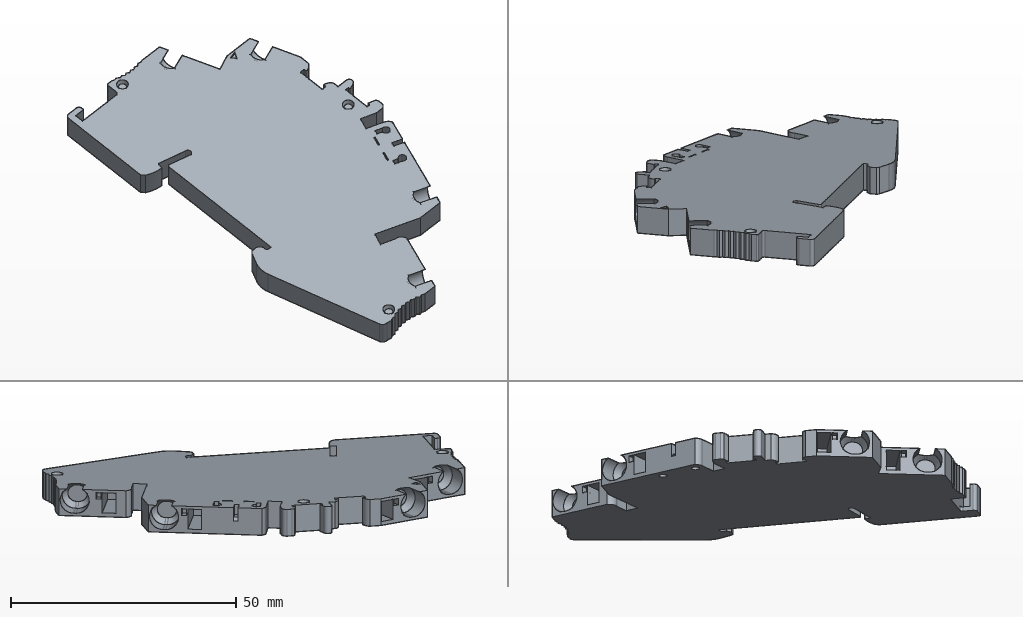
import cadquery as cq
import math

length = 92.4
height = 52.5
thickness = 6.2

slope_angle = 20.0
sin_slope = math.sin(math.radians(slope_angle))
cos_slope = math.cos(math.radians(slope_angle))
tan_slope = math.tan(math.radians(slope_angle))

left_wall_x = 0.6
left_shoulder_y = 28.7
left_step_x = 14.5
left_step_y = left_shoulder_y + (left_step_x - left_wall_x) * tan_slope
upper_left_x = 12.9
upper_left_y = 44.7
upper_left_bottom = 37.5
deck_y = 49.0
deck_left_x = upper_left_x + (deck_y - upper_left_y) / tan_slope

foot_top = 4.2
foot_hook_x = 23.6
window_x = 3.6
window_top = 12.8
corner = 0.4
foot_round = 0.8
window_round = 0.6

rail_y = 6.1
rail_left_x = 26.4
rail_right_x = 58.7

channel_floor = 45.9
channel_lip = 47.0
channel_left = 27.7
channel_right = 34.6
channel_undercut = 0.65
marker_floor = 49.5
marker_lip = 50.4
marker_left = 38.3
marker_right = 45.1
marker_undercut = 0.6
tower_left = 36.5
tower_right = 47.9

crest_x = 52.2
crest_y = 50.45
upper_right_x = 76.0
upper_right_y = crest_y - (upper_right_x - crest_x) * tan_slope
upper_right_bottom = 35.6
right_wall_x = 92.2
right_shoulder_y = 24.2
right_crest_x = 78.2
right_crest_y = right_shoulder_y + (right_wall_x - right_crest_x) * tan_slope

left_grip_teeth = 7
right_grip_teeth = 8
grip_tooth_height = 0.4

funnel_radius = 3.0
funnel_stretch = 0.6
funnel_z = 3.6
funnel_straight = 4.1
funnel_cone_depth = 1.85
funnel_cone_angle = 30.0
left_funnel_setback = 3.9
right_funnel_setback = 3.5
release_width = 3.05
release_bottom = 0.9
release_top = 5.5
release_depth = 11.1
lower_release_offset = 7.7
upper_release_offset = 6.8
notch_width = 1.1
notch_gap = 0.3
notch_bottom = 4.1
notch_depth = 1.85

dimple_radius = 1.3
dimple_floor_radius = 0.9
dimple_depth = 0.9
dimple_places = [(2.4, 15.3), (41.8, 46.9), (89.7, 12.2)]

test_middle = 5.87
test_hole_offset = 4.39
test_hole_depth = 2.3
test_hole_radius = 0.9
test_slot_width = 1.0
test_slot_end = 4.5
test_slot_depth = 1.4
test_slot_offset = 4.7
middle_slot_depth = 2.3
middle_slot_end = 2.6
mouth_length = 0.7
mark_offset = 2.4
mark_depth = 5.45
mark_length = 2.2
mark_width = 0.23
mark_recess = 0.5

pocket_left = 1.5
pocket_bottom = 1.7
pocket_floor = 1.0
triangle_points = [(13.4, 39.55), (15.1, 38.6), (13.9, 37.8)]


def grip(start, end, hollow, teeth):
    """Toothed edge from start to end, hollowed sideways by a parabola."""
    points = []
    steps = 2 * teeth
    outward = -math.copysign(grip_tooth_height, hollow)
    for step in range(1, steps):
        t = step / steps
        x = start[0] + (end[0] - start[0]) * t + 4 * hollow * t * (1 - t)
        y = start[1] + (end[1] - start[1]) * t
        if step % 2 == 0:
            x += outward
        points.append((x, y))
    return points + [end]


def path(wire, points):
    """Continue the outline with straight lines through the points."""
    for point in points:
        wire = wire.lineTo(*point)
    return wire


def rounded(wire, vertex, radius, before, after):
    """Run to an axis-parallel corner at vertex and round it; before and after are travel directions."""
    start = (vertex[0] - before[0] * radius, vertex[1] - before[1] * radius)
    end = (vertex[0] + after[0] * radius, vertex[1] + after[1] * radius)
    rise = radius * (1 - math.sqrt(0.5))
    middle = (
        vertex[0] + (after[0] - before[0]) * rise,
        vertex[1] + (after[1] - before[1]) * rise,
    )
    return wire.lineTo(*start).threePointArc(middle, end)


def make_outline():
    left, right, up = (-1, 0), (1, 0), (0, 1)
    grip_start = (0, 14.4)
    wire = cq.Workplane("XY").moveTo(foot_hook_x, 0)
    wire = rounded(wire, (0, 0), foot_round, left, up)
    wire = rounded(wire, (0, foot_top), foot_round, up, right)
    wire = rounded(wire, (window_x, foot_top), window_round, right, up)
    wire = rounded(wire, (window_x, window_top), window_round, up, left)
    wire = rounded(wire, (0, window_top), corner, left, up)
    wire = wire.lineTo(*grip_start)
    wire = path(wire, grip(grip_start, (left_wall_x, 23.3), 0.8, left_grip_teeth))
    wire = path(wire, [
        (left_wall_x, left_shoulder_y),
        (left_step_x, left_step_y),
        (upper_left_x, upper_left_bottom),
        (upper_left_x, upper_left_y),
        (deck_left_x, deck_y),
        (27.2, deck_y),
    ])
    wire = wire.threePointArc((28.0, 48.2), (channel_left + channel_undercut, channel_lip))
    wire = path(wire, [
        (channel_left, channel_lip),
        (channel_left, channel_floor),
        (channel_right, channel_floor),
        (channel_right, channel_lip),
        (channel_right - channel_undercut, channel_lip),
    ])
    wire = wire.threePointArc((34.3, 48.2), (35.1, deck_y))
    wire = path(wire, [(tower_left, deck_y), (tower_left, 51.7)])
    wire = wire.threePointArc((37.4, height), (38.3, 51.7))
    wire = path(wire, [
        (marker_left + marker_undercut, marker_lip),
        (marker_left, marker_lip),
        (marker_left, marker_floor),
        (marker_right, marker_floor),
        (marker_right, marker_lip),
        (marker_right - marker_undercut, marker_lip),
        (45.1, 52.1),
    ])
    wire = wire.threePointArc((45.5, 52.4), (45.8, height)).lineTo(46.9, height)
    wire = wire.threePointArc((47.5, 52.2), (tower_right, 51.6))
    wire = path(wire, [(tower_right, 49.8), (46.6, 46.0), (49.4, 44.9), (50.9, 49.2)])
    wire = wire.threePointArc((51.4, 49.9), (crest_x, crest_y))
    wire = path(wire, [
        (upper_right_x, upper_right_y),
        (upper_right_x, upper_right_bottom),
        (72.3, 25.1),
        (75.2, 23.9),
        (76.4, 27.35),
    ])
    wire = wire.threePointArc((77.1, 28.8), (right_crest_x, right_crest_y))
    wire = path(wire, [(right_wall_x, right_shoulder_y), (right_wall_x, 21.0)])
    wire = path(wire, grip((right_wall_x, 21.0), (length, 10.35), -1.3, right_grip_teeth))
    wire = wire.lineTo(right_wall_x, 9.15)
    wire = wire.threePointArc((91.9, 8.2), (91.2, 7.8))
    wire = wire.lineTo(63.7, 0.2)
    wire = wire.threePointArc((61.7, 0), (59.9, 0.5))
    wire = path(wire, [(56.9, 1.85), (56.5, 2.3), (56.5, 3.9), (57.3, 4.8), (58.1, 4.8)])
    wire = wire.threePointArc((58.5, 5.0), (rail_right_x, 5.4))
    wire = path(wire, [(rail_right_x, rail_y), (rail_left_x, rail_y)])
    wire = wire.threePointArc((26.1, 6.3), (26.1, 6.65)).lineTo(27.35, 12.0)
    wire = wire.threePointArc((26.8, 12.7), (25.8, 11.9))
    wire = path(wire, [(24.1, 5.1), (25.6, 4.7)])
    wire = wire.threePointArc((25.2, 2.6), (24.5, 0.7))
    return wire.close()


def wire_entry(corner_x, corner_y, side, funnel_setback, release_offset):
    """Cutters at a sloping edge; side is 1 where it rises to the right, -1 to the left."""

    def at(setback):
        origin = (corner_x + side * setback * cos_slope, corner_y + setback * sin_slope, 0)
        along = (cos_slope, side * sin_slope, 0)
        return cq.Workplane(cq.Plane(origin, along, (-side * sin_slope, cos_slope, 0)))

    slot_length = 2 * funnel_radius + funnel_stretch
    mouth = at(funnel_setback).center(0, -funnel_z).slot2D(slot_length, 2 * funnel_radius)
    funnel = mouth.extrude(-funnel_straight)
    cone = (
        at(funnel_setback).workplane(offset=-funnel_straight).center(0, -funnel_z)
        .slot2D(slot_length, 2 * funnel_radius)
        .extrude(-funnel_cone_depth, taper=funnel_cone_angle)
    )
    release = (
        at(funnel_setback + release_offset)
        .center(0, -(release_bottom + release_top) / 2)
        .rect(release_width, release_top - release_bottom)
        .extrude(-release_depth)
    )
    notch_offset = release_offset - (release_width + notch_width) / 2 - notch_gap
    notch = (
        at(funnel_setback + notch_offset)
        .center(0, -(notch_bottom + release_top) / 2)
        .rect(notch_width, release_top - notch_bottom)
        .extrude(-notch_depth)
    )
    return [funnel, cone, release, notch]


def dimple(place):
    return (
        cq.Workplane("XY", origin=(*place, thickness))
        .circle(dimple_radius)
        .workplane(offset=-dimple_depth)
        .circle(dimple_floor_radius)
        .loft()
    )


def test_points():
    """Cutters of the test points; local X runs down the slope, local Y out of the edge."""
    face = cq.Workplane(cq.Plane((crest_x, crest_y, thickness), (cos_slope, -sin_slope, 0), (0, 0, 1)))
    cutters = []
    for side in (-1, 1):
        hole_x = test_middle + side * test_hole_offset
        slot_x = test_middle + side * test_slot_offset
        slot_length = test_slot_end - test_hole_depth
        cutters.append(face.center(hole_x, -test_hole_depth).circle(test_hole_radius).extrude(-thickness))
        cutters.append(
            face.center(slot_x, -test_hole_depth - slot_length / 2)
            .rect(test_slot_width, slot_length)
            .extrude(-test_slot_depth)
        )
        cutters.append(
            face.center(test_middle + side * mark_offset, -mark_depth)
            .rect(mark_length, mark_width)
            .extrude(-mark_recess)
        )
    middle_slot = (
        face.center(test_middle, -middle_slot_end / 2)
        .rect(test_slot_width, middle_slot_end)
        .extrude(-middle_slot_depth)
    )
    mouth = (
        cq.Workplane(cq.Plane(
            face.plane.toWorldCoords((test_middle - test_slot_width / 2, 0, -middle_slot_depth)),
            (sin_slope, cos_slope, 0),
            (cos_slope, -sin_slope, 0),
        ))
        .polyline([(-mouth_length, 0), (0, 0), (0, -mouth_length)])
        .close()
        .extrude(test_slot_width)
    )
    return cutters + [middle_slot, mouth]


def foot_pocket():
    return (
        cq.Workplane("XY", origin=(0, 0, pocket_floor))
        .moveTo(pocket_left, pocket_bottom)
        .lineTo(window_x, pocket_bottom)
        .lineTo(window_x, foot_top + window_round)
        .lineTo(pocket_left, foot_top + window_round)
        .close()
        .extrude(thickness)
    )


def triangle_mark():
    return (
        cq.Workplane("XY", origin=(0, 0, thickness))
        .polyline(triangle_points)
        .close()
        .extrude(-mark_recess)
    )


cutters = [foot_pocket(), triangle_mark()]
cutters += [dimple(place) for place in dimple_places]
cutters += test_points()
cutters += wire_entry(left_wall_x, left_shoulder_y, 1, left_funnel_setback, lower_release_offset)
cutters += wire_entry(upper_left_x, upper_left_y, 1, left_funnel_setback, upper_release_offset)
cutters += wire_entry(upper_right_x, upper_right_y, -1, right_funnel_setback, upper_release_offset)
cutters += wire_entry(right_wall_x, right_shoulder_y, -1, right_funnel_setback, lower_release_offset)

result = make_outline().extrude(thickness)
for cutter in cutters:
    result = result.cut(cutter)